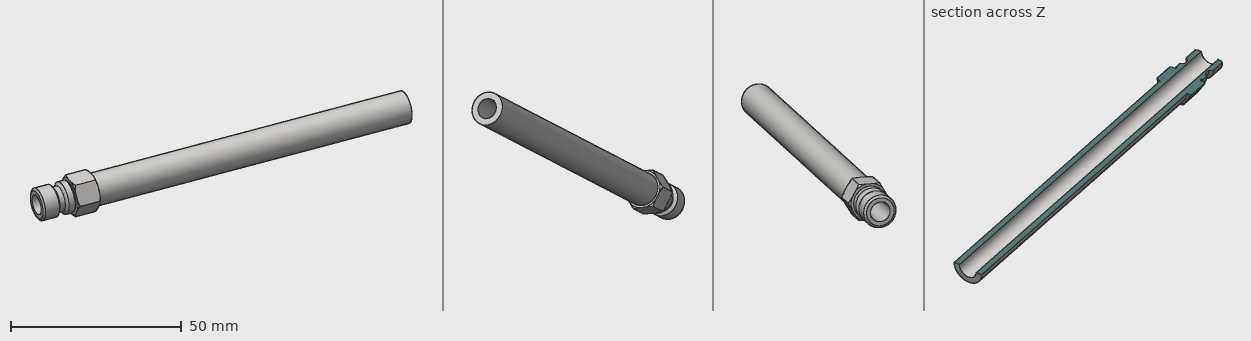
import cadquery as cq
import math

length = 120.0
tube_diameter = 10.0
bore_diameter = 6.0

hex_across_flats = 11.0
hex_start = 10.7
hex_length = 7.3
hex_chamfer_circle = 11.3
hex_chamfer_angle = 30.0

tip_diameter = 8.5
tip_chamfer_length = 0.5
groove_start = 5.0
groove_end = 8.2
groove_wall_length = 0.7
groove_diameter = 7.8
relief_diameter = 9.0
relief_length = 0.5

tube_radius = tube_diameter / 2
groove_radius = groove_diameter / 2
relief_radius = relief_diameter / 2
tip_y = -length / 2
hex_end = hex_start + hex_length
hex_across_corners = hex_across_flats / math.cos(math.radians(30))


def revolve_about_y(points):
    """Revolve a closed (radius, y) profile about the Y axis."""
    return cq.Workplane("XY").polyline(points).close().revolve(360, (0, 0, 0), (0, 1, 0))


def make_body():
    """Solid tube and plug; y is measured from the tip."""
    profile = [
        (0, 0),
        (tip_diameter / 2, 0),
        (tube_radius, tip_chamfer_length),
        (tube_radius, groove_start),
        (groove_radius, groove_start + groove_wall_length),
        (groove_radius, groove_end - groove_wall_length),
        (tube_radius, groove_end),
        (tube_radius, hex_start - relief_length),
        (relief_radius, hex_start - relief_length),
        (relief_radius, hex_start),
        (tube_radius, hex_start),
        (tube_radius, length),
        (0, length),
    ]
    return revolve_about_y(profile)


def make_hex():
    """Nut with corners on the X axis and conically chamfered ends."""
    prism = (
        cq.Workplane("XZ", origin=(0, hex_start, 0))
        .polygon(6, hex_across_corners)
        .extrude(-hex_length)
    )
    face_radius = hex_chamfer_circle / 2
    corner_radius = hex_across_corners / 2
    chamfer_length = (corner_radius - face_radius) * math.tan(math.radians(hex_chamfer_angle))
    envelope = revolve_about_y([
        (0, hex_start),
        (face_radius, hex_start),
        (corner_radius, hex_start + chamfer_length),
        (corner_radius, hex_end - chamfer_length),
        (face_radius, hex_end),
        (0, hex_end),
    ])
    return prism.intersect(envelope)


bore = cq.Workplane("XZ").circle(bore_diameter / 2).extrude(-length)

result = make_body().union(make_hex()).cut(bore).translate((0, tip_y, 0))